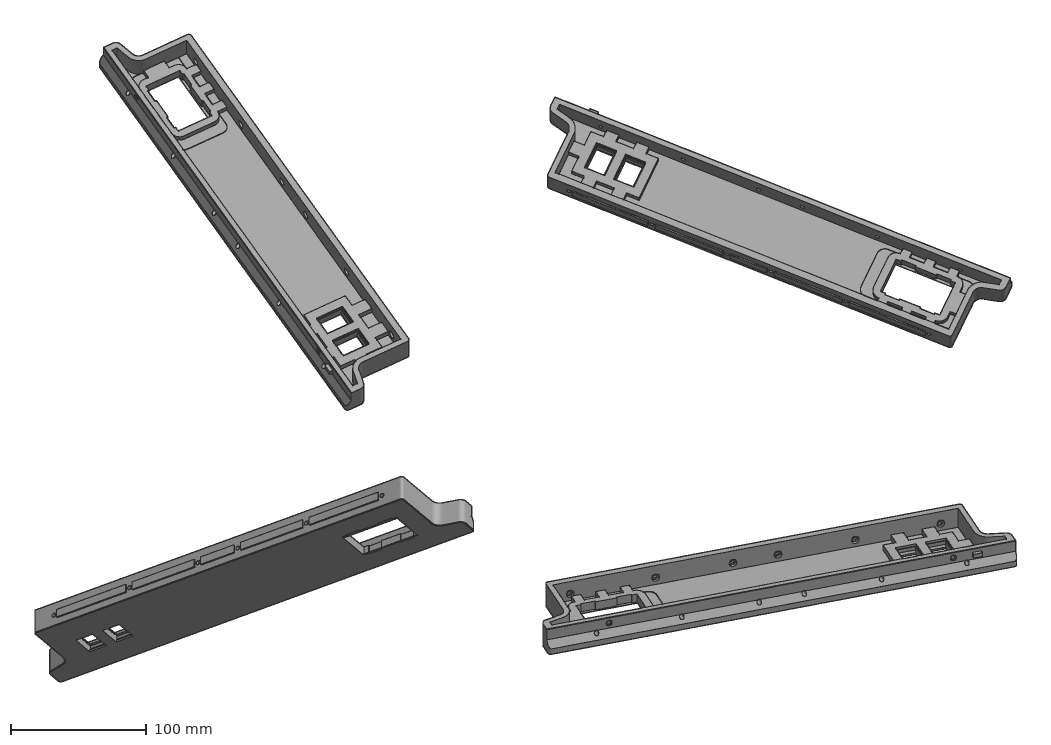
import cadquery as cq
import math

LENGTH = 366.2
HEIGHT = 20.0
FRONT_Y = -33.5
BACK_Y = 32.4
HALF_LENGTH = LENGTH / 2
BODY_HALF_LENGTH = 162.5

SIDE_WALL = 4.5
EAR_TIP_WALL = 5.5
BACK_WALL = 5.3
FLOOR_TOP = 3.5
WALL_FRONT_Y = -29.3
CAVITY_FRONT_Y = WALL_FRONT_Y + SIDE_WALL
CAVITY_BACK_Y = BACK_Y - BACK_WALL

EAR_SLOPE = math.tan(math.radians(14))
EAR_TIP_Y = -17.5
EAR_ROOT_Y = EAR_TIP_Y + (HALF_LENGTH - BODY_HALF_LENGTH) * EAR_SLOPE
EAR_TIP_RADIUS = 4.8
EAR_ROOT_RADIUS = 6.5
BACK_CORNER_RADIUS = 2.2
FRONT_CORNER_RADIUS = 2.5
BOTTOM_CHAMFER = 0.55
TOP_CHAMFER = 0.5

SLOPE_TOP_Z = 11.0
SLOPE_BOTTOM_Z = 5.0

HOLE_Z = 9.5
HOLE_XS = [side * x for side in (-1, 1) for x in (17.5, 78.0, 144.5)]
FRONT_HOLE_DIAMETER = 3.4
BACK_HOLE_DIAMETER = 3.3
COUNTERBORE_DIAMETER = 6.0
COUNTERBORE_DEPTH = 2.5

STRIP_HEIGHT = 6.5
STRIP_PROTRUSION = 1.0
STRIP_GAP = COUNTERBORE_DIAMETER

ACCENT_Z = 15.5
DIMPLE_X = 134.5
DIMPLE_DIAMETER = 3.3
DIMPLE_DEPTH = 1.0
DIMPLE_RIM_DIAMETER = 4.8
BLOCK_X = 152.7
BLOCK_WIDTH = 7.0
BLOCK_HEIGHT = 3.3
BLOCK_PROTRUSION = 3.0

LEFT_X = -121.2
LEFT_Y = -0.55
RECESS_LEFT_X = -159.3
RECESS_RIGHT_X = -82.0
RECESS_DEPTH = 0.55
RECESS_WIDTH = 41.7
RECESS_RADIUS = 6.2
RING_LENGTH = 59.7
RING_WIDTH = 39.5
RING_RADIUS = 7.0
LEFT_FRAME_TOP = 7.5
LEFT_RIB_WIDTH = 7.5
LEFT_RIB_PITCH = 19.0
LEFT_TAB_WIDTH = 17.5
LEFT_WINDOW_LENGTH = 47.5
LEFT_WINDOW_WIDTH = 28.5
LEFT_LEDGE = 1.0
LEFT_LEDGE_TOP = 0.5
NOTCH_LENGTH = 11.5
NOTCH_DEPTH = 1.0
NOTCH_PITCH = 28.2

RIGHT_X = 122.5
RIGHT_Y = -1.65
RIGHT_FRAME_LENGTH = 54.2
RIGHT_FRAME_WIDTH = 35.0
RIGHT_FRAME_TOP = 8.0
RIGHT_RIB_WIDTH = 10.0
RIGHT_PITCH = 24.0
RIGHT_TAB_Y = -2.2
RIGHT_WINDOW_LENGTH = 16.0
RIGHT_WINDOW_WIDTH = 22.0
RIGHT_WINDOW_PITCH = 23.5
RIGHT_LEDGE = 0.7
RIGHT_LEDGE_TOP = 6.2
RIGHT_BEVEL_WIDTH = 1.0
RIGHT_BEVEL_BOTTOM = 1.5
RIGHT_BEVEL_TOP = 3.3


def box(x_min, x_max, y_min, y_max, z_min, z_max):
    return cq.Workplane("XY").box(
        x_max - x_min, y_max - y_min, z_max - z_min, centered=False
    ).translate((x_min, y_min, z_min))


def centred_box(x, y, length, width, z_min, z_max):
    return box(x - length / 2, x + length / 2, y - width / 2, y + width / 2, z_min, z_max)


def eared_prism(tip_x, body_x, front_y, back_y, tip_y, z_min):
    """Vertical prism of the tray plan, mirrored about X = 0, with sloped ears at the front."""
    root_y = tip_y + (tip_x - body_x) * EAR_SLOPE
    right_side = [(tip_x, front_y), (tip_x, tip_y), (body_x, root_y), (body_x, back_y)]
    left_side = [(-x, y) for x, y in reversed(right_side)]
    plan = cq.Workplane("XY").workplane(offset=z_min).polyline(right_side + left_side).close()
    return plan.extrude(HEIGHT - z_min)


def fillet_corner_pair(prism, x, y, radius):
    """Round the two vertical edges at (x, y) and (-x, y)."""
    reach = 0.05
    for corner_x in (-x, x):
        near = cq.selectors.BoxSelector(
            (corner_x - reach, y - reach, -3.5), (corner_x + reach, y + reach, HEIGHT + 3.5)
        )
        prism = prism.edges("|Z").edges(near).fillet(radius)
    return prism


def outer_block():
    block = eared_prism(HALF_LENGTH, BODY_HALF_LENGTH, FRONT_Y, BACK_Y, EAR_TIP_Y, 0)
    block = fillet_corner_pair(block, HALF_LENGTH, FRONT_Y, FRONT_CORNER_RADIUS)
    block = fillet_corner_pair(block, HALF_LENGTH, EAR_TIP_Y, EAR_TIP_RADIUS)
    block = fillet_corner_pair(block, BODY_HALF_LENGTH, EAR_ROOT_Y, EAR_ROOT_RADIUS)
    block = fillet_corner_pair(block, BODY_HALF_LENGTH, BACK_Y, BACK_CORNER_RADIUS)
    return block.faces("<Z").edges().chamfer(BOTTOM_CHAMFER)


def rail_cut():
    """Space in front of the front wall, down to the sloped rail, with a chamfer on the wall's edge."""
    profile = [
        (FRONT_Y, SLOPE_BOTTOM_Z),
        (WALL_FRONT_Y, SLOPE_TOP_Z),
        (WALL_FRONT_Y, HEIGHT - TOP_CHAMFER),
        (WALL_FRONT_Y + TOP_CHAMFER, HEIGHT),
        (FRONT_Y, HEIGHT),
    ]
    return cq.Workplane("YZ").polyline(profile).close().extrude(HALF_LENGTH, both=True)


def cavity():
    tip_x = HALF_LENGTH - EAR_TIP_WALL
    body_x = BODY_HALF_LENGTH - SIDE_WALL
    slope_drop = SIDE_WALL * math.sqrt(1 + EAR_SLOPE**2)
    tip_y = EAR_TIP_Y + EAR_TIP_WALL * EAR_SLOPE - slope_drop
    root_y = tip_y + (tip_x - body_x) * EAR_SLOPE
    space = eared_prism(tip_x, body_x, CAVITY_FRONT_Y, CAVITY_BACK_Y, tip_y, FLOOR_TOP)
    return fillet_corner_pair(space, body_x, root_y, EAR_ROOT_RADIUS + SIDE_WALL)


def left_recess():
    width_min = LEFT_Y - RECESS_WIDTH / 2
    width_max = LEFT_Y + RECESS_WIDTH / 2
    recess = box(RECESS_LEFT_X, RECESS_RIGHT_X, width_min, width_max, FLOOR_TOP - RECESS_DEPTH, FLOOR_TOP)
    return recess.edges("|Z").edges(">X or <Y").fillet(RECESS_RADIUS)


def left_frame():
    base = FLOOR_TOP - RECESS_DEPTH
    frame = centred_box(LEFT_X, LEFT_Y, RING_LENGTH, RING_WIDTH, base, LEFT_FRAME_TOP)
    frame = frame.edges("|Z").fillet(RING_RADIUS)
    for step in (-1, 0, 1):
        x = LEFT_X + step * LEFT_RIB_PITCH
        half = LEFT_RIB_WIDTH / 2
        frame = frame.union(box(x - half, x + half, CAVITY_FRONT_Y, CAVITY_BACK_Y, base, LEFT_FRAME_TOP))
    tab_half = LEFT_TAB_WIDTH / 2
    wall_x = SIDE_WALL - BODY_HALF_LENGTH
    return frame.union(box(wall_x, LEFT_X, LEFT_Y - tab_half, LEFT_Y + tab_half, base, LEFT_FRAME_TOP))


def left_window():
    """Window with a thin ledge along its long sides and two shallow notches in each of them."""
    through_width = LEFT_WINDOW_WIDTH - 2 * LEFT_LEDGE
    notch_width = LEFT_WINDOW_WIDTH + 2 * NOTCH_DEPTH
    window = centred_box(LEFT_X, LEFT_Y, LEFT_WINDOW_LENGTH, through_width, 0, HEIGHT)
    window = window.union(
        centred_box(LEFT_X, LEFT_Y, LEFT_WINDOW_LENGTH, LEFT_WINDOW_WIDTH, LEFT_LEDGE_TOP, HEIGHT)
    )
    for side in (-1, 1):
        x = LEFT_X + side * NOTCH_PITCH / 2
        window = window.union(centred_box(x, LEFT_Y, NOTCH_LENGTH, notch_width, LEFT_LEDGE_TOP, HEIGHT))
    return window


def right_frame():
    frame = centred_box(RIGHT_X, RIGHT_Y, RIGHT_FRAME_LENGTH, RIGHT_FRAME_WIDTH, FLOOR_TOP, RIGHT_FRAME_TOP)
    half = RIGHT_RIB_WIDTH / 2
    for side in (-1, 1):
        x = RIGHT_X + side * RIGHT_PITCH / 2
        frame = frame.union(
            box(x - half, x + half, CAVITY_FRONT_Y, CAVITY_BACK_Y, FLOOR_TOP, RIGHT_FRAME_TOP)
        )
    wall_x = BODY_HALF_LENGTH - SIDE_WALL
    return frame.union(
        box(RIGHT_X, wall_x, RIGHT_TAB_Y - half, RIGHT_TAB_Y + half, FLOOR_TOP, RIGHT_FRAME_TOP)
    )


def right_windows():
    """Windows with a ledge all round, whose front and back sides slope inward below the ledge."""
    through_length = RIGHT_WINDOW_LENGTH - 2 * RIGHT_LEDGE
    half_width = RIGHT_WINDOW_WIDTH / 2
    ledge_y = half_width - RIGHT_LEDGE
    bevel_y = ledge_y - RIGHT_BEVEL_WIDTH
    back_profile = [
        (bevel_y, 0),
        (bevel_y, RIGHT_BEVEL_BOTTOM),
        (ledge_y, RIGHT_BEVEL_TOP),
        (ledge_y, RIGHT_LEDGE_TOP),
    ]
    front_profile = [(-y, z) for y, z in reversed(back_profile)]
    opening = (
        cq.Workplane("YZ")
        .polyline(back_profile + front_profile)
        .close()
        .extrude(through_length / 2, both=True)
        .union(centred_box(0, 0, RIGHT_WINDOW_LENGTH, RIGHT_WINDOW_WIDTH, RIGHT_LEDGE_TOP, HEIGHT))
    )
    windows = cq.Workplane("XY")
    for side in (-1, 1):
        windows = windows.add(opening.translate((RIGHT_X + side * RIGHT_WINDOW_PITCH / 2, RIGHT_Y, 0)))
    return windows.combine()


def y_cylinders(xs, z, diameter, y_min, y_max):
    """Cylinders along Y, one at each X."""
    plane = cq.Workplane("XZ", origin=(0, y_max, 0))
    return plane.pushPoints([(x, z) for x in xs]).circle(diameter / 2).extrude(y_max - y_min)


def back_strips():
    """Strip segments that run from hole to hole along the back wall."""
    strips = cq.Workplane("XY")
    xs = sorted(HOLE_XS)
    for start, end in zip(xs, xs[1:]):
        strips = strips.add(
            box(
                start + STRIP_GAP / 2,
                end - STRIP_GAP / 2,
                CAVITY_BACK_Y,
                BACK_Y + STRIP_PROTRUSION,
                HOLE_Z - STRIP_HEIGHT / 2,
                HOLE_Z + STRIP_HEIGHT / 2,
            )
        )
    return strips.combine()


def dimples():
    """Shallow blind holes in the front wall with a countersunk rim."""
    rim_width = (DIMPLE_RIM_DIAMETER - DIMPLE_DIAMETER) / 2
    profile = [
        (0, 0),
        (DIMPLE_RIM_DIAMETER / 2, 0),
        (DIMPLE_DIAMETER / 2, rim_width),
        (DIMPLE_DIAMETER / 2, DIMPLE_DEPTH),
        (0, DIMPLE_DEPTH),
    ]
    holes = cq.Workplane("XY")
    for x in (-DIMPLE_X, DIMPLE_X):
        hole = cq.Workplane("XY").polyline(profile).close().revolve(360, (0, 0, 0), (0, 1, 0))
        holes = holes.add(hole.translate((x, WALL_FRONT_Y, ACCENT_Z)))
    return holes.combine()


def make_tray():
    tray = outer_block().cut(rail_cut()).cut(cavity())
    tray = tray.cut(left_recess()).union(left_frame()).cut(left_window())
    tray = tray.union(right_frame()).cut(right_windows())
    tray = tray.union(back_strips())
    tray = tray.cut(y_cylinders(HOLE_XS, HOLE_Z, FRONT_HOLE_DIAMETER, FRONT_Y, CAVITY_FRONT_Y))
    tray = tray.cut(y_cylinders(HOLE_XS, HOLE_Z, BACK_HOLE_DIAMETER, CAVITY_BACK_Y, BACK_Y))
    counterbore_y = CAVITY_BACK_Y + COUNTERBORE_DEPTH
    tray = tray.cut(y_cylinders(HOLE_XS, HOLE_Z, COUNTERBORE_DIAMETER, CAVITY_BACK_Y, counterbore_y))
    return tray.cut(dimples())


def make_light_block():
    return centred_box(
        BLOCK_X,
        WALL_FRONT_Y - BLOCK_PROTRUSION / 2,
        BLOCK_WIDTH,
        BLOCK_PROTRUSION,
        ACCENT_Z - BLOCK_HEIGHT / 2,
        ACCENT_Z + BLOCK_HEIGHT / 2,
    )


tray = make_tray()
light_block = make_light_block()

result = cq.Compound.makeCompound([tray.val(), light_block.val()])